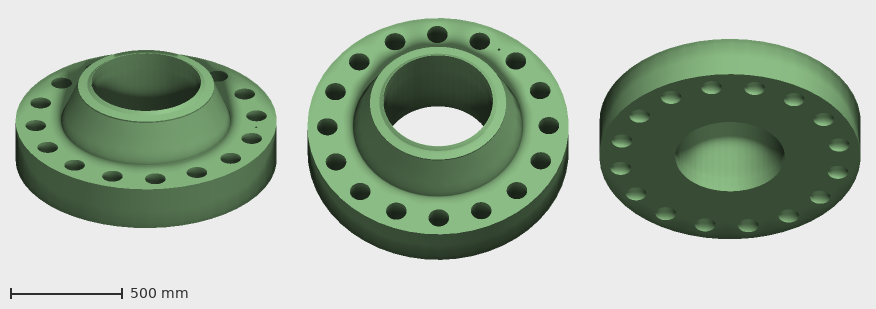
import cadquery as cq
import math

flange_diameter = 1168.0
flange_thickness = 203.0
total_height = 406.0

bolt_circle_diameter = 990.0
bolt_hole_diameter = 92.0
bolt_hole_count = 16
bolt_pitch_angle = 360 / bolt_hole_count

small_hole_diameter = 12.0
small_hole_depth = 23.0

bore_diameter = 491.0
hub_base_diameter = 762.0
hub_top_diameter = 610.0
hub_foot_fillet_radius = 5.0
hub_top_band_height = 7.0
weld_land_width = 1.6
bevel_break_width = 18.0
steep_bevel_angle = 37.5
shallow_bevel_angle = 10.0

bore_radius = bore_diameter / 2
hub_base_radius = hub_base_diameter / 2
hub_top_radius = hub_top_diameter / 2
bolt_circle_radius = bolt_circle_diameter / 2


def bevel_drop(radial_width, angle):
    """Height lost across a bevel inclined at angle to the end face."""
    return radial_width * math.tan(math.radians(angle))


def make_body():
    """Revolve the flange, hub and bevelled welding end around the bore."""
    land_radius = bore_radius + weld_land_width
    break_radius = bore_radius + bevel_break_width
    break_z = total_height - bevel_drop(break_radius - land_radius, steep_bevel_angle)
    hub_top_z = break_z - bevel_drop(hub_top_radius - break_radius, shallow_bevel_angle)
    profile = [
        (bore_radius, 0),
        (flange_diameter / 2, 0),
        (flange_diameter / 2, flange_thickness),
        (hub_base_radius, flange_thickness),
        (hub_top_radius, hub_top_z - hub_top_band_height),
        (hub_top_radius, hub_top_z),
        (break_radius, break_z),
        (land_radius, total_height),
        (bore_radius, total_height),
    ]
    body = cq.Workplane("XZ").polyline(profile).close().revolve(360, (0, 0), (0, 1))
    foot_edge = cq.selectors.RadiusNthSelector(-2)
    return body.edges("%CIRCLE").edges(foot_edge).fillet(hub_foot_fillet_radius)


def make_bolt_holes():
    """Cylinders for the through holes, the first one on the +X axis."""
    return (
        cq.Workplane("XY")
        .polarArray(bolt_circle_radius, 0, 360, bolt_hole_count)
        .circle(bolt_hole_diameter / 2)
        .extrude(flange_thickness)
    )


def make_small_hole():
    """Cylinder for the blind hole, half a pitch from the +X axis."""
    angle = math.radians(bolt_pitch_angle / 2)
    return (
        cq.Workplane("XY", origin=(0, 0, flange_thickness))
        .center(bolt_circle_radius * math.cos(angle), bolt_circle_radius * math.sin(angle))
        .circle(small_hole_diameter / 2)
        .extrude(-small_hole_depth)
    )


result = make_body().cut(make_bolt_holes()).cut(make_small_hole())